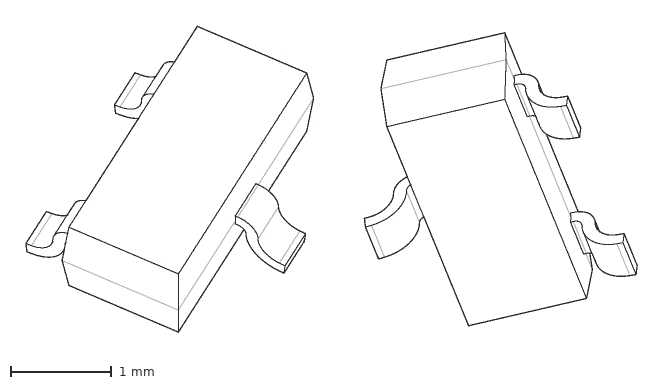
import cadquery as cq
import math


BODY_WIDTH = 1.3
BODY_LENGTH = 2.9
BODY_HEIGHT = 1.0
SIDE_INSET = 0.038
END_INSET = 0.075

LEAD_SPAN = 2.4
LEAD_WIDTH = 0.44
LEAD_THICKNESS = 0.135
LEAD_OFFSET_Y = 0.948
LEAD_EMBED = 0.145
KNEE_X = 0.673
KNEE_INNER_RADIUS = 0.09
ANKLE_INNER_RADIUS = 0.26
FOOT_TILT = math.radians(5)

KNEE_OUTER_RADIUS = KNEE_INNER_RADIUS + LEAD_THICKNESS
ANKLE_OUTER_RADIUS = ANKLE_INNER_RADIUS + LEAD_THICKNESS
ANKLE_X = KNEE_X + KNEE_OUTER_RADIUS + ANKLE_INNER_RADIUS
FOOT_START_X = ANKLE_X - ANKLE_INNER_RADIUS * math.sin(FOOT_TILT)
FOOT_RUN = LEAD_SPAN / 2 - FOOT_START_X
FOOT_DROP = FOOT_RUN * math.tan(FOOT_TILT)

BEND_Z = ANKLE_OUTER_RADIUS * math.cos(FOOT_TILT) + FOOT_DROP
PARTING_Z = BEND_Z + KNEE_INNER_RADIUS + LEAD_THICKNESS / 2


def point_on_bend(center_x, radius, angle):
    """Point on a bend arc; the angle is measured from +X toward +Z."""
    return (center_x + radius * math.cos(angle), BEND_Z + radius * math.sin(angle))


def body_half(height):
    """Tapered half of the body, rising (or falling) from the parting plane."""
    return (
        cq.Workplane("XY", origin=(0, 0, PARTING_Z))
        .rect(BODY_WIDTH, BODY_LENGTH)
        .workplane(offset=height)
        .rect(BODY_WIDTH - 2 * SIDE_INSET, BODY_LENGTH - 2 * END_INSET)
        .loft(ruled=True)
    )


def lead(center_y):
    """Lead on the +X side, centered on the given Y."""
    root_x = BODY_WIDTH / 2 - LEAD_EMBED
    knee_top = math.pi / 2
    knee_mid = math.pi / 4
    knee_end = 0
    ankle_start = math.pi
    ankle_end = 1.5 * math.pi - FOOT_TILT
    ankle_mid = (ankle_start + ankle_end) / 2

    foot_x, foot_z = point_on_bend(ANKLE_X, ANKLE_INNER_RADIUS, ankle_end)
    tip_top = (foot_x + FOOT_RUN, foot_z - FOOT_DROP)
    sole_x, sole_z = point_on_bend(ANKLE_X, ANKLE_OUTER_RADIUS, ankle_end)
    tip_bottom = (sole_x + FOOT_RUN, sole_z - FOOT_DROP)

    profile = (
        cq.Workplane("XZ", origin=(0, center_y, 0))
        .moveTo(root_x, BEND_Z + KNEE_OUTER_RADIUS)
        .lineTo(KNEE_X, BEND_Z + KNEE_OUTER_RADIUS)
        .threePointArc(
            point_on_bend(KNEE_X, KNEE_OUTER_RADIUS, knee_mid),
            point_on_bend(KNEE_X, KNEE_OUTER_RADIUS, knee_end),
        )
        .threePointArc(
            point_on_bend(ANKLE_X, ANKLE_INNER_RADIUS, ankle_mid),
            (foot_x, foot_z),
        )
        .lineTo(*tip_top)
        .lineTo(*tip_bottom)
        .lineTo(sole_x, sole_z)
        .threePointArc(
            point_on_bend(ANKLE_X, ANKLE_OUTER_RADIUS, ankle_mid),
            point_on_bend(ANKLE_X, ANKLE_OUTER_RADIUS, ankle_start),
        )
        .threePointArc(
            point_on_bend(KNEE_X, KNEE_INNER_RADIUS, knee_mid),
            point_on_bend(KNEE_X, KNEE_INNER_RADIUS, knee_top),
        )
        .lineTo(root_x, BEND_Z + KNEE_INNER_RADIUS)
        .close()
    )
    return profile.extrude(LEAD_WIDTH / 2, both=True)


result = body_half(BODY_HEIGHT / 2).union(body_half(-BODY_HEIGHT / 2))

result = result.union(lead(0))
for lead_y in (-LEAD_OFFSET_Y, LEAD_OFFSET_Y):
    result = result.union(lead(lead_y).mirror("YZ"))